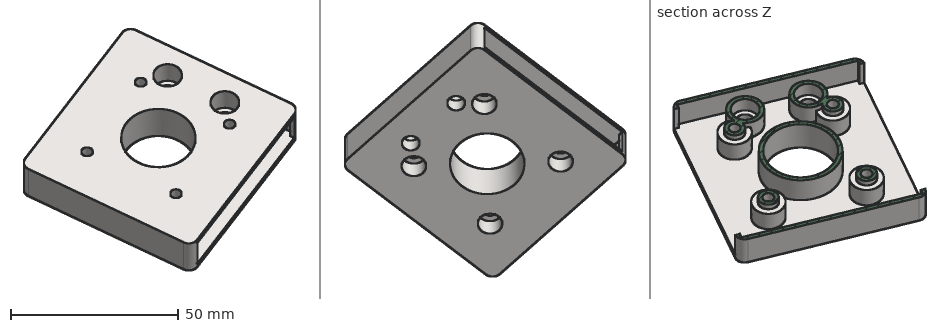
import cadquery as cq

width = 60.0
length = 62.0
height = 13.0
wall = 1.5
corner_radius = 2 * wall
window_length = length - 2 * corner_radius

bore_y = -0.8
bore_diameter = 22.2

screw_spacing = 31.0
screw_diameter = 3.4
screw_head_diameter = 7.3
screw_boss_top = 7.95
screw_head_seat = screw_boss_top - wall

stepped_spacing = 19.95
stepped_y = 21.1
stepped_diameter = 5.3
stepped_head_diameter = 8.55
stepped_boss_bottom = 3.6
stepped_head_seat = stepped_boss_bottom + wall

bore_points = [(0, bore_y)]
screw_points = [
    (side_x * screw_spacing / 2, bore_y + side_y * screw_spacing / 2)
    for side_x in (-1, 1)
    for side_y in (-1, 1)
]
stepped_points = [(side * stepped_spacing / 2, stepped_y) for side in (-1, 1)]


def cylinders(points, diameter, bottom, top):
    """Vertical cylinders of one size at the given points."""
    return (
        cq.Workplane("XY")
        .workplane(offset=bottom)
        .pushPoints(points)
        .circle(diameter / 2)
        .extrude(top - bottom)
    )


def centered_box(size_x, size_y, bottom, top):
    """Box centered in X and Y between two heights."""
    return cq.Workplane("XY").workplane(offset=bottom).rect(size_x, size_y).extrude(top - bottom)


def make_housing():
    """Hollow box with rounded corners and open windows in both X sides."""
    outside = centered_box(width, length, 0, height).edges("|Z").fillet(corner_radius)
    cavity = centered_box(width - 2 * wall, length - 2 * wall, wall, height - wall)
    windows = centered_box(width, window_length, wall, height - wall)
    return outside.cut(cavity).cut(windows)


hole_sections = [
    (bore_points, bore_diameter, 0, height),
    (screw_points, screw_diameter, 0, height),
    (screw_points, screw_head_diameter, 0, screw_head_seat),
    (stepped_points, stepped_diameter, 0, height),
    (stepped_points, stepped_head_diameter, stepped_head_seat, height),
]

sleeve_sections = [
    (bore_points, bore_diameter, 0, height),
    (screw_points, screw_diameter, 0, height),
    (screw_points, screw_head_diameter, 0, screw_boss_top),
    (stepped_points, stepped_diameter, 0, height),
    (stepped_points, stepped_head_diameter, stepped_boss_bottom, height),
]

result = make_housing()
for points, hole_diameter, bottom, top in sleeve_sections:
    result = result.union(cylinders(points, hole_diameter + 2 * wall, bottom, top))
for points, hole_diameter, bottom, top in hole_sections:
    result = result.cut(cylinders(points, hole_diameter, bottom, top))